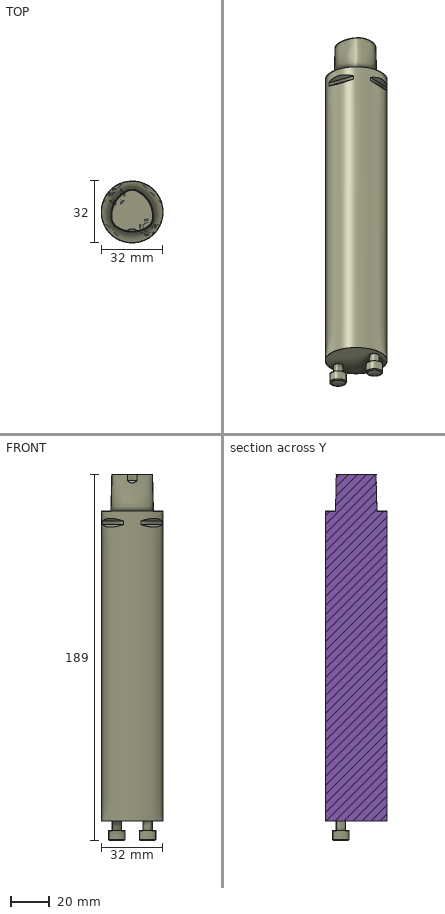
import cadquery as cq
import math

total_height = 189.0
body_bottom = 10.0
taper_length = 18.9
body_top = total_height - taper_length
body_diameter = 32.0

lobe_count = 3
first_flank_angle = 30.0
flank_radius = 14.7
lobe_radius = 6.5
lobe_center_distance = 5.3
taper_ratio = 1 / 40
taper_angle = math.degrees(math.atan(taper_ratio))

notch_diameter = 6.8
notch_axis_y = -12.1
notch_depth = 3.0
drill_point_angle = 90.0

slot_count = 4
first_slot_angle = 45.0
slot_floor_distance = 14.0
slot_floor_height = 1.7
slot_mouth_height = 4.5
slot_drop_from_top = 6.0
slot_center_z = body_top - slot_drop_from_top

screw_shank_diameter = 5.0
screw_head_diameter = 8.5
screw_head_height = 5.1
screw_head_chamfer = 0.5
screw_offset = 8.0
screw_positions = [(-screw_offset, screw_offset), (screw_offset, -screw_offset)]


def polar(radius, angle):
    """Point at the given radius and angle in degrees."""
    return (radius * math.cos(math.radians(angle)), radius * math.sin(math.radians(angle)))


def make_taper():
    """Tapered three-lobed coupling whose lobe and flank arcs meet tangentially."""
    center_gap = flank_radius - lobe_radius
    flank_center_distance = (
        math.sqrt(4 * center_gap**2 - 3 * lobe_center_distance**2) - lobe_center_distance
    ) / 2
    lobe_tip = lobe_center_distance + lobe_radius
    flank_middle = flank_radius - flank_center_distance

    half_span = math.degrees(math.asin(lobe_center_distance * math.sin(math.radians(60)) / center_gap))
    join_x, join_y = polar(flank_radius, half_span)
    join_x -= flank_center_distance
    join_radius = math.hypot(join_x, join_y)
    join_angle = math.degrees(math.atan2(join_y, join_x))

    lobe_pitch = 360 / lobe_count
    outline = cq.Workplane("XY").workplane(offset=body_top)
    outline = outline.moveTo(*polar(join_radius, first_flank_angle - join_angle))
    for index in range(lobe_count):
        flank = first_flank_angle + index * lobe_pitch
        outline = outline.threePointArc(polar(flank_middle, flank), polar(join_radius, flank + join_angle))
        next_join = polar(join_radius, flank + lobe_pitch - join_angle)
        outline = outline.threePointArc(polar(lobe_tip, flank + lobe_pitch / 2), next_join)
    return outline.close().extrude(taper_length, taper=taper_angle)


def make_notch():
    """Vertical drill shape with a conical point, open at the top of the taper."""
    radius = notch_diameter / 2
    corner_z = total_height - notch_depth
    tip_z = corner_z - radius / math.tan(math.radians(drill_point_angle / 2))
    half_profile = [(0, total_height), (radius, total_height), (radius, corner_z), (0, tip_z)]
    drill = cq.Workplane("XZ").polyline(half_profile).close().revolve(360, (0, 0), (0, 1))
    return drill.translate((0, notch_axis_y, 0))


def make_slot():
    """Straight trapezoidal groove across the +X side of the body."""
    outer = body_diameter / 2
    half_floor = slot_floor_height / 2
    half_mouth = slot_mouth_height / 2
    profile = [
        (slot_floor_distance, -half_floor),
        (outer, -half_mouth),
        (outer, half_mouth),
        (slot_floor_distance, half_floor),
    ]
    groove = cq.Workplane("XZ").polyline(profile).close().extrude(outer, both=True)
    return groove.translate((0, 0, slot_center_z))


def make_screws():
    """Cylindrical-head screws standing out of the underside of the body."""
    heads = cq.Workplane("XY").pushPoints(screw_positions).circle(screw_head_diameter / 2)
    heads = heads.extrude(screw_head_height).faces("<Z").edges().chamfer(screw_head_chamfer)
    shanks = cq.Workplane("XY").workplane(offset=screw_head_height).pushPoints(screw_positions)
    shanks = shanks.circle(screw_shank_diameter / 2).extrude(body_bottom - screw_head_height)
    return heads.union(shanks)


body = cq.Workplane("XY").workplane(offset=body_bottom).circle(body_diameter / 2)
body = body.extrude(body_top - body_bottom)
for index in range(slot_count):
    slot_angle = first_slot_angle + index * 360 / slot_count
    body = body.cut(make_slot().rotate((0, 0, 0), (0, 0, 1), slot_angle))

result = body.union(make_taper().cut(make_notch())).union(make_screws())